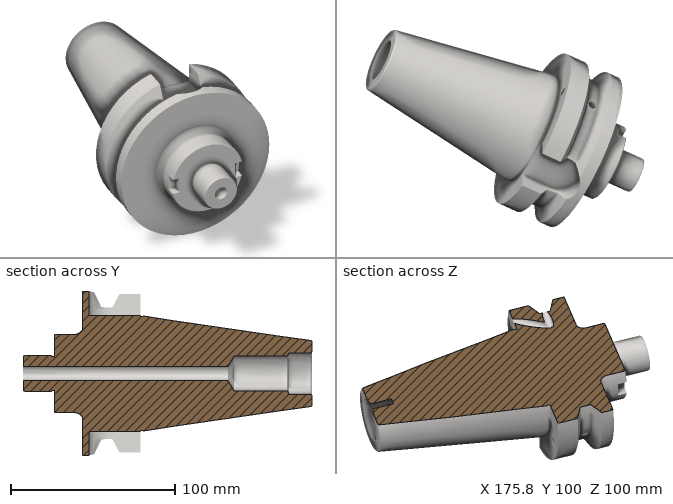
import cadquery as cq
import math

taper_end = 102.7
flange_start = 104.5
groove_wall_start = 117.0
groove_floor_start = 121.5
groove_floor_end = 128.2
groove_wall_end = 132.5
flange_end = 140.0
nose_end = 156.8
relief_end = 157.7
pin_start = 158.7
total_length = 175.8

taper_small_radius = 20.2
taper_large_radius = 35.2
neck_radius = 69.6 / 2
flange_radius = 100.0 / 2
groove_radius = 42.0
nose_radius = 48.0 / 2
pin_radius = 22.0 / 2
relief_radius = 21.0 / 2

small_end_chamfer = 0.7
nose_chamfer = 0.5
tip_chamfer_length = 0.9
tip_radius = 21.5 / 2

root_fillet_radius = 5.3
root_fillet_length = 4.5

mouth_radius = 13.4
bore_radius = 25.0 / 2
bore_depth = 14.0
thread_end_length = 1.0
drill_radius = 21.0 / 2
drill_depth = 47.5
through_radius = 8.5 / 2
drill_point_angle = 118.0

slot_width = 25.7
slot_end = 135.7
slot_floor = 35.3
nose_slot_width = 10.2
nose_slot_length = 5.8
nose_slot_depth = 5.3

channel_diameter = 5.0
channel_angle = 20.0
channel_face_radius = 41.8
channel_tilt = 30.0
channel_exit = (groove_floor_start + groove_floor_end) / 2

clearance = 1.8


def turned_body():
    """Revolve the outside profile, drawn as (x, radius), about the X axis."""
    fillet_start = flange_end + root_fillet_length

    def fillet_point(distance):
        drop = math.sqrt(root_fillet_radius**2 - distance**2)
        return (fillet_start - distance, nose_radius + root_fillet_radius - drop)

    profile = (
        cq.Workplane("XY")
        .moveTo(0, 0)
        .lineTo(0, taper_small_radius - small_end_chamfer)
        .lineTo(small_end_chamfer, taper_small_radius)
        .lineTo(taper_end, taper_large_radius)
        .lineTo(taper_end, neck_radius)
        .lineTo(flange_start, neck_radius)
        .lineTo(flange_start, flange_radius)
        .lineTo(groove_wall_start, flange_radius)
        .lineTo(groove_floor_start, groove_radius)
        .lineTo(groove_floor_end, groove_radius)
        .lineTo(groove_wall_end, flange_radius)
        .lineTo(flange_end, flange_radius)
        .lineTo(*fillet_point(root_fillet_length))
        .threePointArc(fillet_point(root_fillet_length / 2), fillet_point(0))
        .lineTo(nose_end - nose_chamfer, nose_radius)
        .lineTo(nose_end, nose_radius - nose_chamfer)
        .lineTo(nose_end, relief_radius)
        .lineTo(relief_end, relief_radius)
        .lineTo(pin_start, pin_radius)
        .lineTo(total_length - tip_chamfer_length, pin_radius)
        .lineTo(total_length, tip_radius)
        .lineTo(total_length, 0)
        .close()
    )
    return profile.revolve(360, (0, 0, 0), (1, 0, 0))


def stepped_bore():
    """Chamfered bore, smaller drilled hole with a conical end, and through hole."""
    half_angle = math.radians(drill_point_angle / 2)
    point_length = (drill_radius - through_radius) / math.tan(half_angle)
    profile = (
        cq.Workplane("XY")
        .moveTo(0, 0)
        .lineTo(0, mouth_radius)
        .lineTo(mouth_radius - bore_radius, bore_radius)
        .lineTo(bore_depth, bore_radius)
        .lineTo(bore_depth + thread_end_length, drill_radius)
        .lineTo(drill_depth, drill_radius)
        .lineTo(drill_depth + point_length, through_radius)
        .lineTo(total_length, through_radius)
        .lineTo(total_length, 0)
        .close()
    )
    return profile.revolve(360, (0, 0, 0), (1, 0, 0))


def drive_slot():
    """Round-ended slot above a flat floor, open toward the taper."""
    end_radius = slot_width / 2
    arc_center = slot_end - end_radius
    return (
        cq.Workplane("XY", origin=(0, 0, slot_floor))
        .moveTo(taper_end, -end_radius)
        .lineTo(arc_center, -end_radius)
        .threePointArc((slot_end, 0), (arc_center, end_radius))
        .lineTo(taper_end, end_radius)
        .close()
        .extrude(flange_radius - slot_floor + clearance)
    )


def nose_slot():
    """Rectangular notch in the -Y side of the nose, open at the nose end face."""
    return cq.Workplane("XY").box(
        nose_slot_length,
        nose_slot_depth + clearance,
        nose_slot_width,
        centered=(False, False, True),
    ).translate((nose_end - nose_slot_length, -nose_radius - clearance, 0))


def coolant_channel():
    """Tilted hole from the flange face, meeting a radial hole in the groove floor."""
    tilt = math.radians(channel_tilt)
    run = channel_exit - flange_start
    meeting_radius = channel_face_radius - run * math.tan(tilt)
    direction = cq.Vector(math.cos(tilt), -math.sin(tilt), 0)
    face_point = cq.Vector(flange_start, channel_face_radius, 0)
    overshoot = channel_diameter
    tilted = cq.Solid.makeCylinder(
        channel_diameter / 2,
        run / math.cos(tilt) + overshoot,
        face_point - direction * overshoot,
        direction,
    )
    radial = cq.Solid.makeCylinder(
        channel_diameter / 2,
        groove_radius - meeting_radius + clearance,
        cq.Vector(channel_exit, meeting_radius, 0),
        cq.Vector(0, 1, 0),
    )
    channel = cq.Workplane(tilted).union(cq.Workplane(radial))
    return channel.rotate((0, 0, 0), (1, 0, 0), channel_angle)


result = turned_body().cut(stepped_bore())
for cutter in (drive_slot(), nose_slot(), coolant_channel()):
    for turn in (0, 180):
        result = result.cut(cutter.rotate((0, 0, 0), (1, 0, 0), turn))